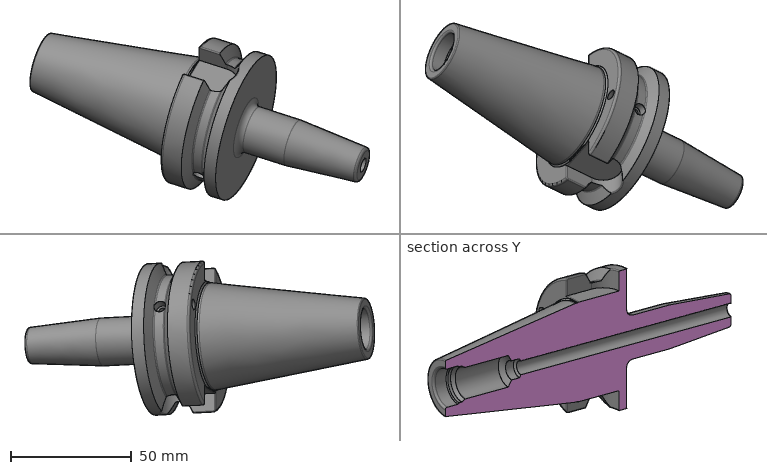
import cadquery as cq
import math

ORIGIN = (0, 0, 0)
TOOL_AXIS = (1, 0, 0)

gauge_radius = 44.45 / 2
taper_length = 65.4
taper_slope = 7 / 48
taper_start = -taper_length
taper_end_radius = gauge_radius - taper_length * taper_slope
taper_edge_fillet = 0.5
neck_start = 0.4
neck_radius = gauge_radius + neck_start * taper_slope
neck_fillet = 0.7

flange_radius = 63 / 2
flange_start = 2.0
flange_end = 27.0
flange_edge_fillet = 1.0
groove_centre = 16.6
groove_root_radius = 26.5
groove_root_width = 4.5
groove_half_angle = math.radians(30)
groove_root_fillet = 0.6

nose_end = 80.0
nose_radius = 10.0
nose_root_fillet = 3.0
nose_taper_length = 31.5
nose_taper_angle = math.radians(4.5)
nose_edge_fillet = 1.2

mouth_fillet = 1.0
pilot_radius = 8.5
pilot_depth = 6.5
thread_radius = 8.0
countersink_depth = 8.4
core_radius = 7.0
core_start_depth = 10.1
core_end_depth = 32.0
step_radius = 4.2
step_length = 4.0
through_radius = 3.0
drill_half_angle = math.radians(59)

slot_width = 16.1
slot_floor = 22.5
slot_end = 22.8
slot_edge_fillet = 0.45

coolant_angle = 20.0
duct_radius = 2.0
duct_length = 13.0
duct_entry_radius = 26.8
duct_tilt = math.radians(38)
plug_radius = 2.5
plug_depth = 4.0
feed_radius = 1.5
feed_depth = 10.0

overcut = 2.0
select_margin = 0.1


def revolve(profile):
    return profile.close().revolve(360, ORIGIN, TOOL_AXIS)


def make_taper():
    """Steep taper with a rounded small end and the neck behind it."""
    shape = revolve(
        cq.Workplane("XZ")
        .moveTo(taper_start, 0)
        .lineTo(taper_start, taper_end_radius)
        .lineTo(neck_start, neck_radius)
        .lineTo(flange_start - neck_fillet, neck_radius)
        .radiusArc((flange_start, neck_radius + neck_fillet), neck_fillet)
        .lineTo(flange_start, 0)
    )
    return shape.faces("<X").edges().fillet(taper_edge_fillet)


def make_flange():
    """Flange disc with a rounded front edge and a V-groove with rounded root."""
    root_half = groove_root_width / 2
    rim_half = root_half + (flange_radius - groove_root_radius) * math.tan(groove_half_angle)
    disc = revolve(
        cq.Workplane("XZ")
        .moveTo(flange_start, 0)
        .lineTo(flange_start, flange_radius)
        .lineTo(flange_end, flange_radius)
        .lineTo(flange_end, 0)
    )
    disc = disc.faces("<X").edges().fillet(flange_edge_fillet)
    ring = revolve(
        cq.Workplane("XZ")
        .moveTo(groove_centre - rim_half, flange_radius)
        .lineTo(groove_centre - root_half, groove_root_radius)
        .lineTo(groove_centre + root_half, groove_root_radius)
        .lineTo(groove_centre + rim_half, flange_radius)
    )
    root_edges = cq.selectors.RadiusNthSelector(0)
    return disc.cut(ring.edges(root_edges).fillet(groove_root_fillet))


def make_nose():
    """Cylindrical then tapered nose, blended into the flange."""
    taper_begin = nose_end - nose_taper_length
    end_radius = nose_radius - nose_taper_length * math.tan(nose_taper_angle)
    shape = revolve(
        cq.Workplane("XZ")
        .moveTo(flange_end, 0)
        .lineTo(flange_end, nose_radius + nose_root_fillet)
        .radiusArc((flange_end + nose_root_fillet, nose_radius), -nose_root_fillet)
        .lineTo(taper_begin, nose_radius)
        .lineTo(nose_end, end_radius)
        .lineTo(nose_end, 0)
    )
    return shape.faces(">X").edges().fillet(nose_edge_fillet)


def make_bore():
    """Stepped central bore, open at both ends."""
    step_start = taper_start + core_end_depth + (core_radius - step_radius) / math.tan(drill_half_angle)
    step_end = step_start + step_length
    through_start = step_end + (step_radius - through_radius) / math.tan(drill_half_angle)
    return revolve(
        cq.Workplane("XZ")
        .moveTo(taper_start, 0)
        .lineTo(taper_start, pilot_radius + mouth_fillet)
        .radiusArc((taper_start + mouth_fillet, pilot_radius), -mouth_fillet)
        .lineTo(taper_start + pilot_depth, pilot_radius)
        .lineTo(taper_start + pilot_depth + pilot_radius - thread_radius, thread_radius)
        .lineTo(taper_start + countersink_depth, thread_radius)
        .lineTo(taper_start + core_start_depth, core_radius)
        .lineTo(taper_start + core_end_depth, core_radius)
        .lineTo(step_start, step_radius)
        .lineTo(step_end, step_radius)
        .lineTo(through_start, through_radius)
        .lineTo(nose_end, through_radius)
        .lineTo(nose_end, 0)
    )


def half_turn(shape):
    return shape.rotate(ORIGIN, TOOL_AXIS, 180)


def cut_slot(flange):
    """Cut the +Z drive slot, round-ended, and round its edges on the flange face and rim."""
    half = slot_width / 2
    arc_start = slot_end - half
    slot = (
        cq.Workplane("XY", origin=(0, 0, slot_floor))
        .moveTo(flange_start, -half)
        .lineTo(arc_start, -half)
        .radiusArc((arc_start, half), -half)
        .lineTo(flange_start, half)
        .close()
        .extrude(flange_radius)
    )
    slotted = flange.cut(slot)
    rim_height = math.sqrt(flange_radius ** 2 - half ** 2)
    rim_start = flange_start + flange_edge_fillet
    reach = half + select_margin
    face_edges = cq.selectors.BoxSelector(
        (flange_start - select_margin, -reach, slot_floor - select_margin),
        (rim_start - select_margin, reach, flange_radius),
    )
    rim_edges = cq.selectors.BoxSelector(
        (rim_start, -reach, rim_height - select_margin),
        (slot_end, reach, flange_radius + select_margin),
    )
    return slotted.edges(face_edges + rim_edges).fillet(slot_edge_fillet)


def make_neck_clearance():
    """Flat clearance through the neck fillet in front of the +Z drive slot."""
    return (
        cq.Workplane("XY")
        .box(flange_start - neck_start, slot_width, neck_fillet + overcut, centered=(False, True, False))
        .translate((neck_start, 0, neck_radius))
    )


def cylinder(radius, length, start, direction):
    return cq.Workplane(cq.Solid.makeCylinder(radius, length, cq.Vector(*start), cq.Vector(*direction)))


def make_coolant_hole():
    """Slanted duct from the flange face and a stepped radial plug hole in the V-groove."""
    along = math.cos(duct_tilt)
    inward = math.sin(duct_tilt)
    duct_start = (flange_start - overcut * along, duct_entry_radius + overcut * inward, 0)
    duct = cylinder(duct_radius, duct_length + overcut, duct_start, (along, -inward, 0))
    plug_start = (groove_centre, groove_root_radius + overcut, 0)
    plug = cylinder(plug_radius, plug_depth + overcut, plug_start, (0, -1, 0))
    feed = cylinder(feed_radius, feed_depth + overcut, plug_start, (0, -1, 0))
    return duct.union(plug).union(feed).rotate(ORIGIN, TOOL_AXIS, coolant_angle)


taper = make_taper()
flange = make_flange()
for side in range(2):
    taper = half_turn(taper.cut(make_neck_clearance()))
    flange = half_turn(cut_slot(flange))

coolant_hole = make_coolant_hole()
result = taper.union(flange).union(make_nose()).cut(make_bore())
result = result.cut(coolant_hole).cut(half_turn(coolant_hole))